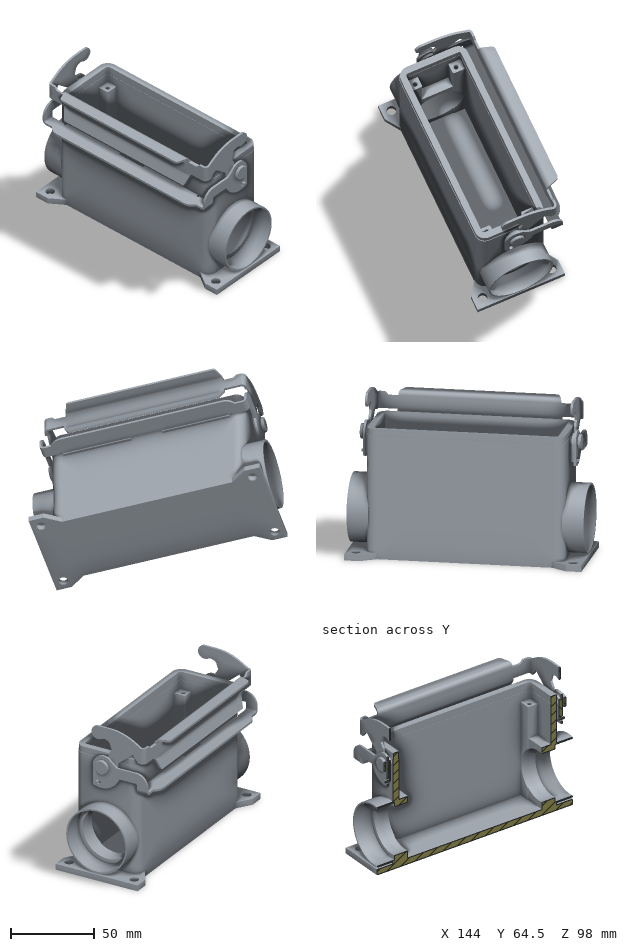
import cadquery as cq
import math


overall_length = 144.0
base_width = 57.0
base_thickness = 3.9
ear_flat = 9.4
ear_length = 18.9
mount_hole_radius = 2.9
mount_hole_x = 66.0
mount_hole_y = 22.6

body_length = 120.7
body_width = 44.4
body_height = 80.0
body_corner_radius = 6.2
rim_height = 4.0
rim_step = 0.3

cavity_length = 111.7
cavity_width = 35.9
cavity_corner_radius = 1.3
cavity_floor = 4.3
mouth_depth = 5.3
mouth_step = 0.1

nozzle_height = 25.9
nozzle_radius = 21.0
nozzle_root = 58.9
socket_radius = 20.0
socket_depth = 12.8
port_radius = 17.0

post_length = 7.0
post_width = 7.9
post_corner_radius = 1.2
post_top = 68.5
post_hole_radius = 1.3
post_hole_chamfer = 0.5
post_hole_depth = 14.4
post_hole_x = 52.0
post_hole_y = 13.4
end_block_length = 6.6

sheet = 1.5
bend_radius = 2.9
pivot_height = 72.9
pin_radius = 1.9
pin_collar_radius = 2.9
rivet_neck_radius = 2.5
rivet_neck_length = 0.7
rivet_head_radius = 4.6
rivet_head_length = 1.7
rivet_head_chamfer = 0.5

latch_half = 63.0
cheek_gap = 0.1
bail_inner_half = latch_half + cheek_gap
bail_half = bail_inner_half + sheet
latch_front = -28.2
latch_bottom = 80.2
latch_top = 90.5

hook_radius = 4.3
hook_y = 4.5
hook_top = 98.0
back_arc_front = (-21.6, 92.7)
back_arc_middle = (-14.8, 96.0)
back_arc_rear = (-2.2, hook_top)
throat_rear = (2.7, 89.5)
throat_top = (0.0, 90.6)
throat_front = (-3.9, 88.5)
throat_point = (-5.2, 84.7)
neck_top = (-2.9, 81.2)
neck_bottom = (-2.9, 77.3)
hub_arc_middle = (2.0, 76.9)
hub_rear_top = (5.3, pivot_height)
hub_rear_bottom = (5.3, 61.3)
hub_sweep_middle = (-3.2, 63.8)
hub_front_bottom = (-9.2, 70.8)
hub_front_top = (-9.2, 76.2)
window_peak = (-19.9, 85.0)
window_front = (-23.6, latch_bottom)

strip_low_top = 88.3
strip_shoulder_outer = 57.6
strip_shoulder_inner = 55.7
strip_recess_radius = 0.7
grip_tip = -36.0
grip_top = 91.5
grip_bend = 2.9
grip_root_half = 49.5
grip_tip_half = 46.4
flap_tilt = 20.0
flap_top = 78.3
flap_bend_radius = 1.5
flap_bottom = 70.8
flap_root_half = 50.0
flap_tip_half = 47.4
lip_corner_radius = 2.2

bail_floor = 60.8
bail_rear = -23.6
bail_shoulder = -30.8
bail_tip = -34.4
arm_top = 73.9
arm_bottom = 67.1
arm_radius = 8.0
arm_inner_radius = 0.7
lobe_radius = 6.9
lobe_arc_y = 1.3
lobe_arc_z = 71.9
lobe_arc_radius = 13.5
arm_start = -11.4
neck_front = -9.5
lobe_front = (-4.2, 78.5)
bail_plate_flat_half = 50.5
relief_inner = 52.0
relief_outer = 53.9
relief_depth = 0.9
centre_relief_half = 9.6
skirt_bottom = 59.9
skirt_bend = 1.2

stop_height = 62.0
stop_hole_y = 3.2
stop_hole_radius = 1.6
lug_y = 3.6
lug_width = 1.7
lug_thickness = 1.5
lug_projection = 1.5


def block(x0, x1, y0, y1, z0, z1):
    """Box between two opposite corners."""
    return cq.Workplane("XY").box(x1 - x0, y1 - y0, z1 - z0, centered=False).translate((x0, y0, z0))


def rod(x0, x1, y, z, radius):
    """Round bar along X."""
    return cq.Workplane("YZ", origin=(x0, 0, 0)).center(y, z).circle(radius).extrude(x1 - x0)


def rounded_block(length, width, radius, z0, z1):
    """Box centred in plan with rounded upright edges."""
    upright = cq.Workplane("XY", origin=(0, 0, z0)).rect(length, width).extrude(z1 - z0)
    return upright.edges("|Z").fillet(radius)


def both_ends(shape):
    """The shape together with its mirror image at the other end."""
    return shape.union(shape.mirror("YZ"))


def mounting_ear():
    end = overall_length / 2
    outline = [
        (end, -base_width / 2),
        (end, base_width / 2),
        (end - ear_flat, base_width / 2),
        (end - ear_length, body_width / 2),
        (end - ear_length, -body_width / 2),
        (end - ear_flat, -base_width / 2),
    ]
    ear = cq.Workplane("XY").polyline(outline).close().extrude(base_thickness)
    holes = [(mount_hole_x, -mount_hole_y), (mount_hole_x, mount_hole_y)]
    return ear.cut(cq.Workplane("XY").pushPoints(holes).circle(mount_hole_radius).extrude(base_thickness))


def housing_cavity():
    mouth_bottom = body_height - mouth_depth
    mouth = rounded_block(cavity_length, cavity_width, cavity_corner_radius, mouth_bottom, body_height)
    narrow_length = cavity_length - 2 * mouth_step
    narrow_width = cavity_width - 2 * mouth_step
    return mouth.union(
        rounded_block(narrow_length, narrow_width, cavity_corner_radius, cavity_floor, mouth_bottom)
    )


def end_fittings():
    """Two screw posts and the thick block around the port, at the +X end of the cavity."""
    end = cavity_length / 2
    side = cavity_width / 2
    block_top = nozzle_height + nozzle_radius
    fittings = block(end - end_block_length, end, -side, side, cavity_floor, block_top)
    for y0, inner_corner in ((-side, "|Z and <X and >Y"), (side - post_width, "|Z and <X and <Y")):
        post = block(end - post_length, end, y0, y0 + post_width, cavity_floor, post_top)
        fittings = fittings.union(post.edges(inner_corner).fillet(post_corner_radius))
    hole_centres = [(post_hole_x, -post_hole_y), (post_hole_x, post_hole_y)]
    countersinks = (
        cq.Workplane("XY", origin=(0, 0, post_top))
        .pushPoints(hole_centres)
        .circle(post_hole_radius + post_hole_chamfer)
        .extrude(-post_hole_chamfer, taper=45)
    )
    screw_holes = (
        cq.Workplane("XY", origin=(0, 0, post_top - post_hole_depth))
        .pushPoints(hole_centres)
        .circle(post_hole_radius)
        .extrude(post_hole_depth)
        .union(countersinks)
    )
    return fittings.cut(screw_holes)


def make_housing():
    end = overall_length / 2
    rim_bottom = body_height - rim_height
    body = rounded_block(body_length, body_width, body_corner_radius, 0, rim_bottom)
    rim_length = body_length - 2 * rim_step
    rim_width = body_width - 2 * rim_step
    body = body.union(rounded_block(rim_length, rim_width, body_corner_radius, rim_bottom, body_height))
    body = body.union(both_ends(mounting_ear()))
    body = body.union(both_ends(rod(nozzle_root, end, 0, nozzle_height, nozzle_radius)))
    body = body.cut(housing_cavity())
    body = body.union(both_ends(end_fittings()))
    body = body.cut(rod(-end, end, 0, nozzle_height, port_radius))
    body = body.cut(both_ends(rod(end - socket_depth, end, 0, nozzle_height, socket_radius)))
    return body.cut(rod(-end, end, 0, pivot_height, pin_radius))


def latch_cheek_outline():
    """Side outline of the hooked cheeks, running forward into the front strip."""
    hook_centre_z = hook_top - hook_radius
    return (
        cq.Workplane("YZ", origin=(-latch_half, 0, 0))
        .moveTo(latch_front, latch_bottom)
        .lineTo(latch_front, latch_top)
        .lineTo(latch_front + bend_radius, latch_top)
        .lineTo(*back_arc_front)
        .threePointArc(back_arc_middle, back_arc_rear)
        .lineTo(hook_y, hook_top)
        .threePointArc((hook_y + hook_radius, hook_centre_z), (hook_y, hook_centre_z - hook_radius))
        .lineTo(*throat_rear)
        .threePointArc(throat_top, throat_front)
        .lineTo(*throat_point)
        .lineTo(*neck_top)
        .lineTo(*neck_bottom)
        .threePointArc(hub_arc_middle, hub_rear_top)
        .lineTo(*hub_rear_bottom)
        .threePointArc(hub_sweep_middle, hub_front_bottom)
        .lineTo(*hub_front_top)
        .lineTo(*window_peak)
        .lineTo(*window_front)
        .close()
        .extrude(2 * latch_half)
    )


def latch_strap():
    """Sheet bent into a U in plan, cut to the cheek outline at the sides and to the strip in front."""
    rear = hook_y + 2 * hook_radius
    bottom = 0
    outside = block(-latch_half, latch_half, latch_front, rear, bottom, hook_top)
    outside = outside.edges("|Z and <Y").fillet(bend_radius)
    inner_half = latch_half - sheet
    inside = block(-inner_half, inner_half, latch_front + sheet, rear, bottom, hook_top)
    inside = inside.edges("|Z and <Y").fillet(bend_radius - sheet)
    strip_recess = (
        cq.Workplane("XZ", origin=(0, latch_front + bend_radius, 0))
        .moveTo(-strip_shoulder_outer, latch_top)
        .lineTo(-strip_shoulder_inner, strip_low_top)
        .lineTo(strip_shoulder_inner, strip_low_top)
        .lineTo(strip_shoulder_outer, latch_top)
        .close()
        .extrude(bend_radius)
    )
    strip_recess = strip_recess.edges("|Y and <Z").fillet(strip_recess_radius)
    return outside.cut(inside).intersect(latch_cheek_outline()).cut(strip_recess)


def latch_grip():
    """Lip bent forward from the top of the front strip."""
    section = (
        cq.Workplane("YZ", origin=(-grip_root_half, 0, 0))
        .moveTo(latch_front + sheet, strip_low_top)
        .lineTo(latch_front + sheet, grip_top - grip_bend)
        .radiusArc((latch_front + sheet - grip_bend, grip_top), -grip_bend)
        .lineTo(grip_tip, grip_top)
        .lineTo(grip_tip, grip_top - sheet)
        .lineTo(latch_front + sheet - grip_bend, grip_top - sheet)
        .radiusArc((latch_front, grip_top - grip_bend), grip_bend - sheet)
        .lineTo(latch_front, strip_low_top)
        .close()
        .extrude(2 * grip_root_half)
    )
    plan = (
        cq.Workplane("XY", origin=(0, 0, strip_low_top))
        .moveTo(-grip_root_half, latch_front + sheet)
        .lineTo(-grip_tip_half, grip_tip)
        .lineTo(grip_tip_half, grip_tip)
        .lineTo(grip_root_half, latch_front + sheet)
        .close()
        .extrude(grip_top - strip_low_top)
    )
    plan = plan.edges("|Z and <Y").fillet(lip_corner_radius)
    return section.intersect(plan)


def latch_flap():
    """Lip sloping outward below the front strip."""
    tilt = math.radians(flap_tilt)
    rear = latch_front + sheet
    rear_tip = rear - (flap_top - flap_bottom) * math.tan(tilt)
    front_tip = rear_tip - sheet * math.cos(tilt)
    front_tip_z = flap_bottom + sheet * math.sin(tilt)
    front_top = front_tip_z + (latch_front - front_tip) / math.tan(tilt)
    section = (
        cq.Workplane("YZ", origin=(-flap_root_half, 0, 0))
        .moveTo(rear, latch_bottom)
        .lineTo(rear, flap_top)
        .lineTo(rear_tip, flap_bottom)
        .lineTo(front_tip, front_tip_z)
        .lineTo(latch_front, front_top)
        .lineTo(latch_front, latch_bottom)
        .close()
        .extrude(2 * flap_root_half)
    )
    section = section.edges(cq.selectors.NearestToPointSelector((0, latch_front, front_top)))
    section = section.fillet(flap_bend_radius)
    section = section.edges(cq.selectors.NearestToPointSelector((0, rear, flap_top)))
    section = section.fillet(flap_bend_radius + sheet)
    face = (
        cq.Workplane("XZ", origin=(0, rear, 0))
        .moveTo(-flap_root_half, latch_bottom)
        .lineTo(-flap_root_half, flap_top)
        .lineTo(-flap_tip_half, flap_bottom)
        .lineTo(flap_tip_half, flap_bottom)
        .lineTo(flap_root_half, flap_top)
        .lineTo(flap_root_half, latch_bottom)
        .close()
        .extrude(rear - front_tip)
    )
    face = face.edges("|Y and <Z").fillet(lip_corner_radius)
    return section.intersect(face)


def stop_lug():
    return block(
        -bail_half - lug_projection,
        -latch_half,
        lug_y - lug_width / 2,
        lug_y + lug_width / 2,
        stop_height - lug_thickness / 2,
        stop_height + lug_thickness / 2,
    )


def bail_cheek():
    """Flat lobe around the pivot with the arm that reaches forward, at the -X end."""
    bend_top = bail_floor + bend_radius
    lobe_rear_bottom = lobe_arc_z - math.sqrt(lobe_arc_radius**2 - (lobe_radius - lobe_arc_y) ** 2)
    arm_slope = math.sqrt(0.5) * arm_radius
    inner_slope = math.sqrt(0.5) * arm_inner_radius
    arm_centre = (bail_shoulder + arm_radius, arm_top - arm_radius)
    inner_centre = (bail_rear + arm_inner_radius, arm_bottom - arm_inner_radius)
    cheek = (
        cq.Workplane("YZ", origin=(-bail_half, 0, 0))
        .moveTo(lobe_radius, pivot_height)
        .lineTo(lobe_radius, lobe_rear_bottom)
        .threePointArc((lobe_arc_y, lobe_arc_z - lobe_arc_radius), (arm_start, arm_bottom))
        .lineTo(inner_centre[0], arm_bottom)
        .threePointArc(
            (inner_centre[0] - inner_slope, inner_centre[1] + inner_slope), (bail_rear, inner_centre[1])
        )
        .lineTo(bail_rear, bend_top)
        .lineTo(bail_shoulder, bend_top)
        .lineTo(bail_shoulder, arm_centre[1])
        .threePointArc((arm_centre[0] - arm_slope, arm_centre[1] + arm_slope), (arm_centre[0], arm_top))
        .lineTo(neck_front, arm_top)
        .lineTo(*lobe_front)
        .threePointArc((0, pivot_height + lobe_radius), (lobe_radius, pivot_height))
        .close()
        .extrude(sheet)
    )
    return cheek.cut(rod(-bail_half, -bail_inner_half, stop_hole_y, stop_height, stop_hole_radius))


def bail_plate():
    """Bottom plate with its upturned bends, relief notches and rounded front shoulders."""
    bend_top = bail_floor + bend_radius
    open_top = bend_top + sheet
    outside = block(-bail_half, bail_half, bail_tip, bail_rear, bail_floor, open_top)
    outside = outside.edges("|Y and <Z").fillet(bend_radius)
    inside = block(-bail_inner_half, bail_inner_half, bail_tip, bail_rear, bail_floor + sheet, open_top)
    inside = inside.edges("|Y and <Z").fillet(bend_radius - sheet)
    shoulder_drop = bail_shoulder - bail_tip
    shoulder_run = math.sqrt(arm_radius**2 - (arm_radius - shoulder_drop) ** 2)
    shoulder_half = bail_plate_flat_half + shoulder_run
    plan = (
        cq.Workplane("XY", origin=(0, 0, bail_floor))
        .moveTo(-bail_half, bail_rear)
        .lineTo(-bail_half, bail_shoulder)
        .lineTo(-shoulder_half, bail_shoulder)
        .radiusArc((-bail_plate_flat_half, bail_tip), -arm_radius)
        .lineTo(bail_plate_flat_half, bail_tip)
        .radiusArc((shoulder_half, bail_shoulder), -arm_radius)
        .lineTo(bail_half, bail_shoulder)
        .lineTo(bail_half, bail_rear)
        .close()
        .extrude(bend_radius)
    )
    plate = outside.cut(inside).intersect(plan)
    for x0, x1 in (
        (-relief_outer, -relief_inner),
        (-centre_relief_half, centre_relief_half),
        (relief_inner, relief_outer),
    ):
        plate = plate.cut(block(x0, x1, bail_rear - relief_depth, bail_rear, bail_floor, bend_top))
    return plate


def bail_skirt():
    """Flange turned down from the plate along the housing wall, on the -X half."""
    top = bail_floor + sheet
    skirt = block(-relief_inner, -centre_relief_half, bail_rear, -body_width / 2, skirt_bottom, top)
    return skirt.edges("|X and >Y and >Z").fillet(skirt_bend)


def pivot_rivet():
    """Pin through the housing wall, collar, neck and outer head, at the -X end."""
    collar_end = -body_length / 2
    pin_end = -cavity_length / 2 + mouth_step
    neck_end = -bail_half - rivet_neck_length
    head_end = neck_end - rivet_head_length
    head = rod(head_end, neck_end, 0, pivot_height, rivet_head_radius)
    rivet = head.faces("<X").edges().chamfer(rivet_head_chamfer)
    rivet = rivet.union(rod(neck_end, -bail_half, 0, pivot_height, rivet_neck_radius))
    rivet = rivet.union(rod(-bail_half, collar_end, 0, pivot_height, pin_collar_radius))
    return rivet.union(rod(collar_end, pin_end, 0, pivot_height, pin_radius))


def make_lever():
    lever = latch_strap()
    lever = lever.union(latch_grip())
    lever = lever.union(latch_flap())
    lever = lever.union(bail_plate())
    for end_part in (bail_cheek(), bail_skirt(), stop_lug(), pivot_rivet()):
        lever = lever.union(both_ends(end_part))
    return lever


housing = make_housing()
lever = make_lever()
result = cq.Compound.makeCompound([housing.solids().val(), lever.solids().val()])